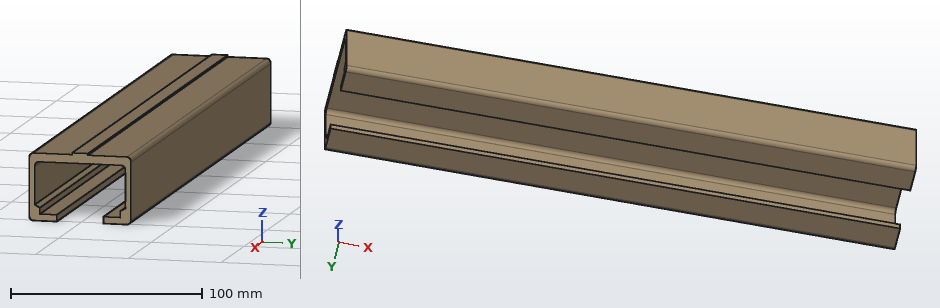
import cadquery as cq

length = 304.8
width = 55.0
height = 37.0

strip_width = 8.5
strip_height = 1.0

roof_thickness = 4.5
side_thickness = 3.0
lip_thickness = 3.7

slot_width = 25.0
step_width = 2.7
step_top = 8.5
step_drop = 1.5

outer_radius = 2.5
inner_radius = 2.5

body_height = height - strip_height
cavity_width = width - 2 * side_thickness
cavity_height = body_height - roof_thickness - lip_thickness


def bar(bar_width, bar_height, bottom):
    """Full-length rectangular bar centred on X and Y, resting at the given height."""
    return (
        cq.Workplane("XY")
        .workplane(offset=bottom)
        .box(length, bar_width, bar_height, centered=(True, True, False))
    )


body = bar(width, body_height, 0)
body = body.edges("|X").fillet(outer_radius)

cavity = bar(cavity_width, cavity_height, lip_thickness)
cavity = cavity.edges("|X and >Z").fillet(inner_radius)

slot = bar(slot_width, lip_thickness, 0)


def foot_step(side):
    """Step between a side wall and its lip, its top sloping down inwards; side is 1 or -1."""
    wall_y = side * cavity_width / 2
    free_y = wall_y - side * step_width
    return (
        cq.Workplane("YZ")
        .workplane(offset=-length / 2)
        .moveTo(wall_y, lip_thickness)
        .lineTo(wall_y, step_top)
        .lineTo(free_y, step_top - step_drop)
        .lineTo(free_y, lip_thickness)
        .close()
        .extrude(length)
    )


result = body.cut(cavity).cut(slot)
for side in (1, -1):
    result = result.union(foot_step(side))
result = result.union(bar(strip_width, strip_height, body_height))

result = result.translate((0, 0, -height / 2))